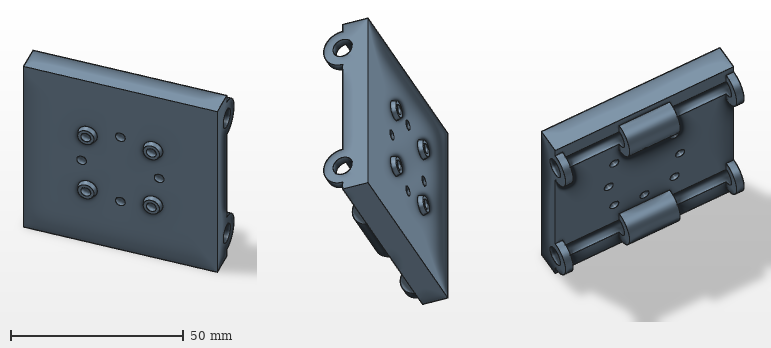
import cadquery as cq

plate_side = 60.0
plate_thickness = 8.0

lug_radius = 6.0
bore_diameter = 6.0
hinge_offset = 21.5
end_lug_width = 2.5
middle_lug_width = 17.0

boss_height = 1.5
boss_base_diameter = 6.0
boss_tip_diameter = 5.05
boss_offset = 10.15
hole_diameter = 3.0
plain_hole_offset = 12.0

boss_centers = [(x, z) for x in (-boss_offset, boss_offset) for z in (-boss_offset, boss_offset)]
plain_hole_centers = [
    (-plain_hole_offset, 0),
    (plain_hole_offset, 0),
    (0, -plain_hole_offset),
    (0, plain_hole_offset),
]


def cylinder_along_x(x_center, z, diameter, width):
    """Cylinder along X whose axis lies in the back face of the plate."""
    return (
        cq.Workplane("YZ", origin=(x_center, plate_thickness, z))
        .circle(diameter / 2)
        .extrude(width / 2, both=True)
    )


def boss(x, z):
    """Cone frustum standing on the front face, pointing toward -Y."""
    profile = [
        (0, 0),
        (boss_base_diameter / 2, 0),
        (boss_tip_diameter / 2, -boss_height),
        (0, -boss_height),
    ]
    return (
        cq.Workplane("XY")
        .polyline(profile)
        .close()
        .revolve(360, (0, 0, 0), (0, 1, 0))
        .translate((x, 0, z))
    )


result = cq.Workplane("XY").box(plate_side, plate_thickness, plate_side, centered=(True, False, True))

end_lug_x = (plate_side - end_lug_width) / 2
lugs = [(-end_lug_x, end_lug_width), (0, middle_lug_width), (end_lug_x, end_lug_width)]
for hinge_z in (-hinge_offset, hinge_offset):
    for lug_x, lug_width in lugs:
        result = result.union(cylinder_along_x(lug_x, hinge_z, 2 * lug_radius, lug_width))
    result = result.cut(cylinder_along_x(0, hinge_z, bore_diameter, plate_side))

for boss_x, boss_z in boss_centers:
    result = result.union(boss(boss_x, boss_z))

hole_length = boss_height + plate_thickness
holes = (
    cq.Workplane("XZ", origin=(0, -boss_height, 0))
    .pushPoints(boss_centers + plain_hole_centers)
    .circle(hole_diameter / 2)
    .extrude(-hole_length)
)
result = result.cut(holes)